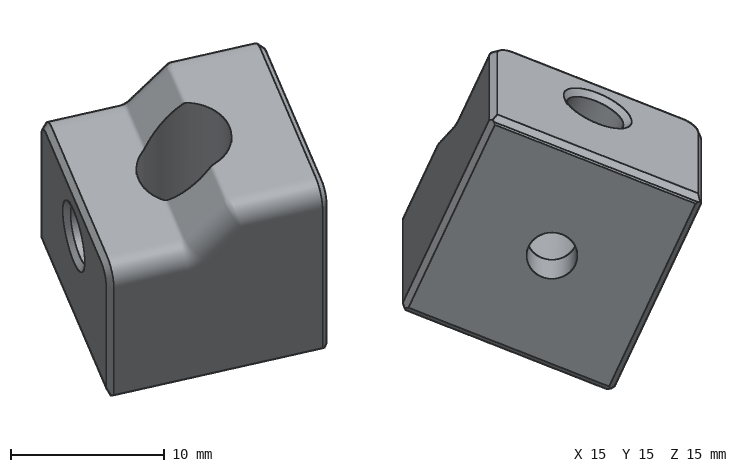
import cadquery as cq
import math

side = 15.0
front_height = 12.0
slope_start = 5.49
step_rise = side - front_height
slope_end = slope_start + step_rise

slope_blend_radius = 0.5
top_edge_radius = 1.5
edge_chamfer = 0.4
second_chamfer = edge_chamfer

bore_diameter = 3.3
counterbore_diameter = 6.2
counterbore_floor = 3.0

front_hole_diameter = 4.0
mouth_chamfer = edge_chamfer
front_hole_mouth_diameter = front_hole_diameter + 2 * mouth_chamfer
front_hole_height = 8.0
front_hole_depth = 2.0


def stepped_block():
    """Block with a low front, a 45 degree slope and softened edges."""
    block = (
        cq.Workplane("YZ")
        .moveTo(0, 0)
        .lineTo(side, 0)
        .lineTo(side, side)
        .lineTo(slope_end, side)
        .lineTo(slope_start, front_height)
        .lineTo(0, front_height)
        .close()
        .extrude(side / 2, both=True)
    )
    foot = cq.selectors.NearestToPointSelector((0, slope_start, front_height))
    block = block.edges(foot).fillet(slope_blend_radius)

    block = block.faces("<X or >X").edges("not(|Z or <Z)").fillet(top_edge_radius)
    crest = cq.selectors.NearestToPointSelector((0, slope_end, side))
    block = block.edges(crest).fillet(slope_blend_radius)

    return block.faces("<Y or >Y").edges("not <Z").chamfer(edge_chamfer)


def bottom_bevel_envelope():
    """Cube with mitred bevels around the bottom and a second bevel at the front."""
    along_chamfer = second_chamfer / math.sqrt(2)
    lengthwise = (
        cq.Workplane("YZ")
        .moveTo(edge_chamfer, 0)
        .lineTo(side - edge_chamfer, 0)
        .lineTo(side, edge_chamfer)
        .lineTo(side, side)
        .lineTo(0, side)
        .lineTo(0, edge_chamfer + second_chamfer)
        .lineTo(along_chamfer, edge_chamfer - along_chamfer)
        .close()
        .extrude(side / 2, both=True)
    )
    crosswise = (
        cq.Workplane("XY")
        .box(side, side, side, centered=(True, False, False))
        .edges("|Y and <Z")
        .chamfer(edge_chamfer)
    )
    return lengthwise.intersect(crosswise)


def stepped_bore():
    """Through bore with a wide counterbore opening upward."""
    bore = cq.Workplane("XY").center(0, side / 2).circle(bore_diameter / 2).extrude(side)
    counterbore = (
        cq.Workplane("XY", origin=(0, side / 2, counterbore_floor))
        .circle(counterbore_diameter / 2)
        .extrude(side - counterbore_floor)
    )
    return bore.union(counterbore)


def front_hole():
    """Flat-bottomed hole with a chamfered mouth, revolved about its axis."""
    return (
        cq.Workplane("XY", origin=(0, 0, front_hole_height))
        .lineTo(front_hole_mouth_diameter / 2, 0)
        .lineTo(front_hole_diameter / 2, mouth_chamfer)
        .lineTo(front_hole_diameter / 2, front_hole_depth)
        .lineTo(0, front_hole_depth)
        .close()
        .revolve(360, (0, 0, 0), (0, 1, 0))
    )


result = stepped_block().intersect(bottom_bevel_envelope()).cut(stepped_bore()).cut(front_hole())